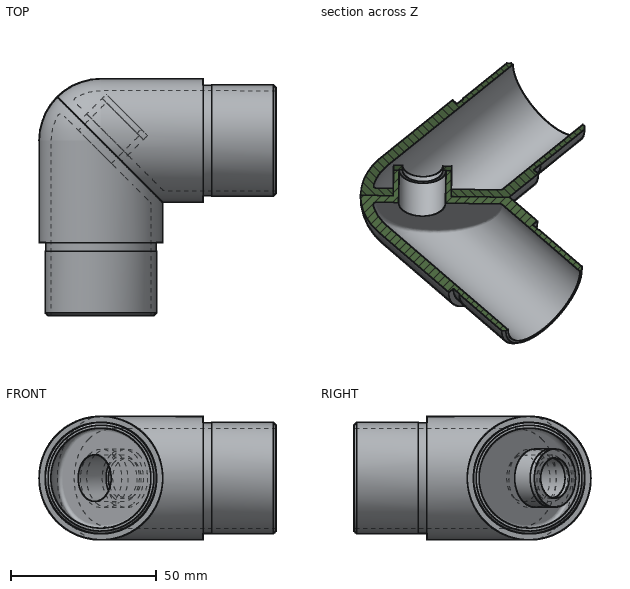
import cadquery as cq
import math


body_radius = 21.2
spigot_radius = 19.15
relief_radius = 19.0
bore_radius = 17.15
shoulder_distance = 35.0
relief_width = 3.0
leg_length = 60.0
end_chamfer = 1.0

wall_thickness = 3.0
cavity_fillet = 1.0

pivot_bore_radius = 8.0
pivot_outer_radius = 10.0
pivot_reach = 10.5
ring_bore_radius = 6.9
ring_thickness = 2.0

spigot_start = shoulder_distance + relief_width
cut_size = 3 * leg_length

mitre_normal = cq.Vector(1, 1, 0).normalized()


def mitre_plane(distance):
    """Plane parallel to the mitre, offset along the pivot axis."""
    return cq.Plane(origin=mitre_normal * distance, xDir=(0, 0, 1), normal=mitre_normal)


def pivot_cylinder(radius, start, end):
    return cq.Workplane(mitre_plane(start)).circle(radius).extrude(end - start)


def beyond_mitre(distance):
    """Block filling everything past an offset mitre plane."""
    return cq.Workplane(mitre_plane(distance)).rect(cut_size, cut_size).extrude(cut_size)


def ball_profile(radius):
    """Quarter arc from the tip of the ball end, on the Y axis, to its widest point."""
    arc_middle = radius * math.sqrt(0.5)
    return cq.Workplane("XY").moveTo(0, radius).threePointArc((arc_middle, arc_middle), (radius, 0))


def leg_outside():
    """Ball end, body, relief groove and chamfered spigot revolved about the Y axis."""
    return (
        ball_profile(body_radius)
        .lineTo(body_radius, -shoulder_distance)
        .lineTo(relief_radius, -shoulder_distance)
        .lineTo(relief_radius, -spigot_start)
        .lineTo(spigot_radius, -spigot_start)
        .lineTo(spigot_radius, end_chamfer - leg_length)
        .lineTo(spigot_radius - end_chamfer, -leg_length)
        .lineTo(0, -leg_length)
        .close()
        .revolve(360, (0, 0, 0), (0, 1, 0))
    )


def leg_cavity():
    """Ball-ended bore, stopped by the mitre wall with a rounded corner."""
    cavity = (
        ball_profile(bore_radius)
        .lineTo(bore_radius, -leg_length)
        .lineTo(0, -leg_length)
        .close()
        .revolve(360, (0, 0, 0), (0, 1, 0))
        .cut(beyond_mitre(-wall_thickness))
    )
    wall_face = cq.NearestToPointSelector((mitre_normal * -wall_thickness).toTuple())
    return cavity.faces(wall_face).edges().fillet(cavity_fillet)


def leg_half():
    """The -Y leg, closed by its mitre wall."""
    return leg_outside().cut(beyond_mitre(0)).cut(leg_cavity())


pivot_half = (
    leg_half()
    .union(pivot_cylinder(pivot_outer_radius, -wall_thickness / 2, pivot_reach))
    .cut(pivot_cylinder(pivot_bore_radius, -wall_thickness, pivot_reach))
)

socket_half = (
    leg_half()
    .rotate((0, 0, 0), (1, -1, 0), 180)
    .cut(pivot_cylinder(pivot_outer_radius, 0, wall_thickness))
)

retaining_ring = pivot_cylinder(
    pivot_outer_radius, pivot_reach, pivot_reach + ring_thickness
).cut(pivot_cylinder(ring_bore_radius, pivot_reach, pivot_reach + ring_thickness))

result = cq.Compound.makeCompound(
    [pivot_half.val(), socket_half.val(), retaining_ring.val()]
)